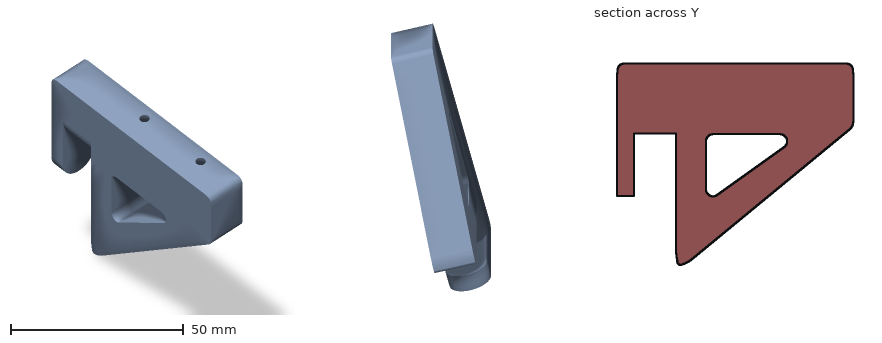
import cadquery as cq

length = 68.5
thickness = 12.4
height = 58.55
half_thickness = thickness / 2
top_corner_length = 3.1
top_corner_control = 0.7

tongue_width = 5.1
leg_left = 17.05
slot_roof_depth = 20.55
tongue_depth = 38.55

nose_depth = 17.1
nose_height = 2.2
nose_width = 1.15
nose_mid = (68.15, -18.35)
tip_start_depth = 54.0
tip_shoulder_x = 17.4
tip_shoulder_depth = 57.2
tip_bottom_x = 18.35
tip_end_x = 21.6
tip_end_depth = 57.0
tip_lower_mid = (20.1, -57.95)
tip_corner_mid = (17.7, -58.2)
tip_side_mid = (17.1, -55.6)

window_left = 25.8
window_top_depth = 20.7
window_right = 53.4
window_bottom_depth = 40.4
window_corner_radius = 2.0

hole_diameter = 3.0
hole_offset_y = 2.05
first_hole_x = 30.95
hole_spacing = 24.05
hole_depth = window_top_depth


def plate(outline):
    """Extrude a closed XZ outline through the thickness, centred on Y = 0."""
    return outline.close().extrude(thickness).translate((0, half_thickness, 0))


def rounded_bottom_bar(left, right, bottom_depth):
    """Bar along X hanging from the top face, with a half-round underside."""
    spring_depth = bottom_depth - half_thickness
    return (
        cq.Workplane("YZ", origin=(left, 0, 0))
        .moveTo(-half_thickness, 0)
        .lineTo(-half_thickness, -spring_depth)
        .threePointArc((0, -bottom_depth), (half_thickness, -spring_depth))
        .lineTo(half_thickness, 0)
        .close()
        .extrude(right - left)
    )


def leg():
    """Large right-hand plate with a sloping lower edge and a rounded tip."""
    return plate(
        cq.Workplane("XZ")
        .moveTo(leg_left, 0)
        .lineTo(length, 0)
        .lineTo(length, -nose_depth)
        .threePointArc(nose_mid, (length - nose_width, -nose_depth - nose_height))
        .lineTo(tip_end_x, -tip_end_depth)
        .threePointArc(tip_lower_mid, (tip_bottom_x, -height))
        .threePointArc(tip_corner_mid, (tip_shoulder_x, -tip_shoulder_depth))
        .threePointArc(tip_side_mid, (leg_left, -tip_start_depth))
    )


def envelope():
    """Plate with softly blended top corners that bounds the whole part."""
    full, inner = top_corner_length, top_corner_control
    return plate(
        cq.Workplane("XZ")
        .moveTo(0, -height)
        .lineTo(0, -full)
        .bezier([(0, -inner), (inner, 0), (full, 0)], includeCurrent=True)
        .lineTo(length - full, 0)
        .bezier([(length - inner, 0), (length, -inner), (length, -full)], includeCurrent=True)
        .lineTo(length, -height)
    )


def window():
    """Triangular opening with rounded corners."""
    triangle = plate(
        cq.Workplane("XZ")
        .moveTo(window_left, -window_top_depth)
        .lineTo(window_right, -window_top_depth)
        .lineTo(window_left, -window_bottom_depth)
    )
    return triangle.edges("|Y").fillet(window_corner_radius)


tongue = rounded_bottom_bar(0, tongue_width, tongue_depth)
bridge = rounded_bottom_bar(tongue_width, leg_left, slot_roof_depth)
body = leg().union(bridge).union(tongue).clean()
body = body.intersect(envelope())

hole_count = 2
hole_places = [(first_hole_x + i * hole_spacing, hole_offset_y) for i in range(hole_count)]
holes = (
    cq.Workplane("XY")
    .pushPoints(hole_places)
    .circle(hole_diameter / 2)
    .extrude(-hole_depth)
)

result = body.cut(window()).cut(holes)